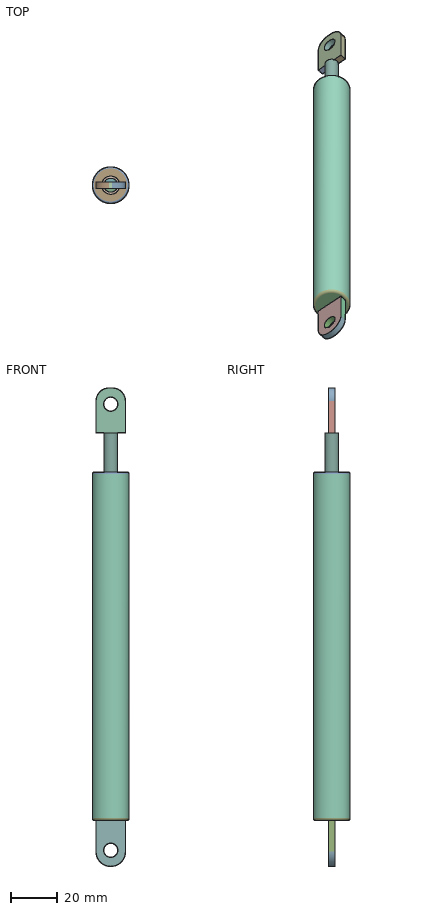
import cadquery as cq

overall_length = 208.0
cylinder_bottom = 20.0
cylinder_top = 171.5
top_eye_bottom = 188.5

cylinder_diameter = 16.0
top_rim_fillet = 0.8
bottom_rim_fillet = 1.0

rod_diameter = 6.0
recess_diameter = 8.0
recess_depth = 3.1
recess_floor = cylinder_top - recess_depth

eye_width = 13.0
eye_thickness = 3.0
eye_hole_diameter = 6.0
eye_hole_inset = 7.0
bottom_eye_radius = eye_width / 2
top_eye_corner_radius = 5.8


def round_bar(diameter, bottom, top):
    """Round bar on the strut axis between two heights."""
    return (
        cq.Workplane("XY", origin=(0, 0, bottom))
        .circle(diameter / 2)
        .extrude(top - bottom)
    )


def flat_bar(bottom, top):
    """Rectangular bar with the section of the eyes between two heights."""
    return (
        cq.Workplane("XY", origin=(0, 0, bottom))
        .rect(eye_width, eye_thickness)
        .extrude(top - bottom)
    )


def cross_disc(radius, height):
    """Disc as thick as the eyes, with its axis along Y at the given height."""
    return (
        cq.Workplane("XZ", origin=(0, eye_thickness / 2, height))
        .circle(radius)
        .extrude(eye_thickness)
    )


def make_housing():
    """Cylinder with rounded rims, a recess for the rod and the bottom eye."""
    cylinder = (
        round_bar(cylinder_diameter, cylinder_bottom, cylinder_top)
        .faces(">Z").edges().fillet(top_rim_fillet)
        .faces("<Z").edges().fillet(bottom_rim_fillet)
    )
    recess = round_bar(recess_diameter, recess_floor, cylinder_top)
    eye = flat_bar(bottom_eye_radius, cylinder_bottom).union(
        cross_disc(bottom_eye_radius, bottom_eye_radius)
    )
    eye_hole = cross_disc(eye_hole_diameter / 2, eye_hole_inset)
    return cylinder.cut(recess).union(eye).cut(eye_hole)


def make_rod():
    """Rod with the top eye, whose two upper corners are rounded."""
    shaft = round_bar(rod_diameter, recess_floor, top_eye_bottom)
    eye = (
        flat_bar(top_eye_bottom, overall_length)
        .edges("|Y and >Z")
        .fillet(top_eye_corner_radius)
    )
    eye_hole = cross_disc(eye_hole_diameter / 2, overall_length - eye_hole_inset)
    return shaft.union(eye).cut(eye_hole)


housing = make_housing()
rod = make_rod()
result = cq.Compound.makeCompound([housing.val(), rod.val()])